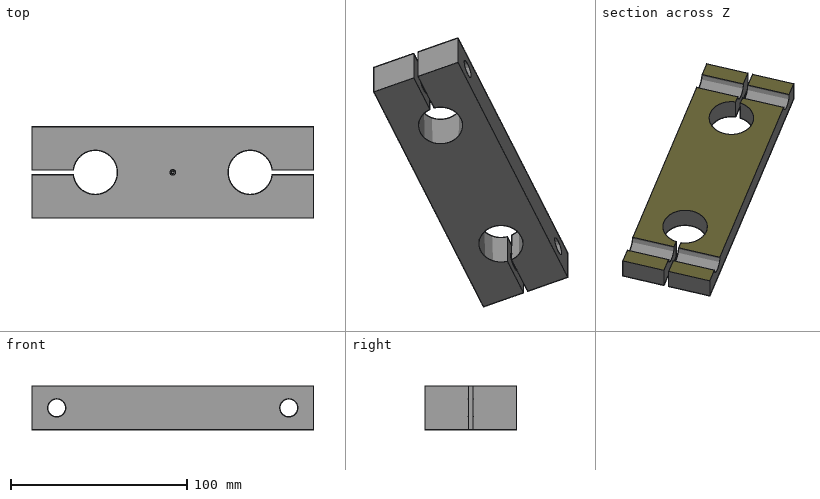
import cadquery as cq

length = 160.0
width = 52.0
height = 25.0

bore_diameter = 25.0
bore_offset = 44.0
slit_width = 2.5

screw_hole_diameter = 10.0
screw_hole_offset = 66.0

center_hole_diameter = 1.6
center_mouth_diameter = 3.2
center_mouth_angle = 60.0
center_hole_depth = 3.2
drill_point_depth = 0.5


def cylinder_along_y(x, diameter):
    """Cylinder through the full width of the block at mid height."""
    return (
        cq.Workplane("XZ")
        .center(x, 0)
        .circle(diameter / 2)
        .extrude(width / 2, both=True)
    )


result = cq.Workplane("XY").box(length, width, height)

for side in (-1, 1):
    bore = (
        cq.Workplane("XY")
        .center(side * bore_offset, 0)
        .circle(bore_diameter / 2)
        .extrude(height / 2, both=True)
    )
    slit_length = length / 2 - bore_offset
    slit_center = side * (bore_offset + slit_length / 2)
    slit = cq.Workplane("XY").center(slit_center, 0).box(slit_length, slit_width, height)
    screw_hole = cylinder_along_y(side * screw_hole_offset, screw_hole_diameter)
    result = result.cut(bore).cut(slit).cut(screw_hole)

result = (
    result.faces(">Z")
    .workplane(origin=(0, 0, 0))
    .cskHole(center_hole_diameter, center_mouth_diameter, center_mouth_angle, center_hole_depth)
)

drill_point = cq.Workplane(
    cq.Solid.makeCone(
        center_hole_diameter / 2,
        0,
        drill_point_depth,
        pnt=cq.Vector(0, 0, height / 2 - center_hole_depth),
        dir=cq.Vector(0, 0, -1),
    )
)
result = result.cut(drill_point)